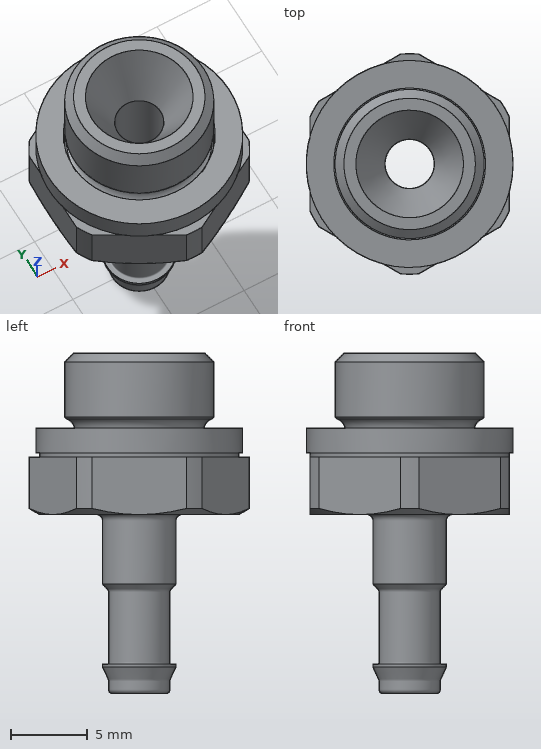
import cadquery as cq
import math

TOTAL_HEIGHT = 22.2
TIP_ROUND = 0.27
BARB_CONE_START = 0.8
BARB_RIM_BOTTOM = 1.73
BARB_RIM_TOP = 1.93
STEP_BOTTOM = 6.62
STEP_TOP = 7.15
HEX_BOTTOM = 11.68
HEX_TOP = 15.43
RING_BOTTOM = 15.7
RING_TOP = 17.32
THREAD_BOTTOM = 18.03
THREAD_CHAMFER = 0.58

TUBE_RADIUS = 4.0 / 2
SHANK_RADIUS = 4.8 / 2
SHANK_ROOT_FILLET = 0.4
BARB_BACK_FILLET = 0.09
BARB_BLEND_WIDTH = 0.029
BARB_BLEND_HEIGHT = 0.13
STEP_BLEND_WIDTH = 0.082
STEP_BLEND_HEIGHT = 0.2

HEX_ACROSS_FLATS = 13.0
HEX_ACROSS_CORNERS = 14.39
HEX_CHAMFER_ANGLE = 30.0

RING_RADIUS = 13.5 / 2
RING_HOLE_RADIUS = 9.9 / 2
THREAD_RADIUS = 9.72 / 2
NECK_RADIUS = 4.22
UNDERCUT_RADIUS = 0.75
UNDERCUT_CHAMFER = 0.1

BORE_RADIUS = 3.2 / 2
MOUTH_RADIUS = 7.02 / 2
MOUTH_HALF_ANGLE = 30.0


def revolve_about_z(profile):
    """Turn a closed (radius, height) profile about the Z axis."""
    return profile.close().revolve(360, (0, 0, 0), (0, 1, 0))


def make_spigot():
    """Hose tube with a barb, a stepped shank and a filleted root at the hexagon."""
    barb_blend_top = BARB_CONE_START + BARB_BLEND_HEIGHT
    step_blend_top = STEP_BOTTOM + STEP_BLEND_HEIGHT
    root_start = HEX_BOTTOM - SHANK_ROOT_FILLET
    profile = (
        cq.Workplane("XZ")
        .lineTo(TUBE_RADIUS - TIP_ROUND, 0)
        .tangentArcPoint((TUBE_RADIUS, TIP_ROUND), relative=False)
        .lineTo(TUBE_RADIUS, BARB_CONE_START)
        .tangentArcPoint((TUBE_RADIUS + BARB_BLEND_WIDTH, barb_blend_top), relative=False)
        .lineTo(SHANK_RADIUS, BARB_RIM_BOTTOM)
        .lineTo(SHANK_RADIUS, BARB_RIM_TOP)
        .lineTo(TUBE_RADIUS + BARB_BACK_FILLET, BARB_RIM_TOP)
        .tangentArcPoint((TUBE_RADIUS, BARB_RIM_TOP + BARB_BACK_FILLET), relative=False)
        .lineTo(TUBE_RADIUS, STEP_BOTTOM)
        .tangentArcPoint((TUBE_RADIUS + STEP_BLEND_WIDTH, step_blend_top), relative=False)
        .lineTo(SHANK_RADIUS, STEP_TOP)
        .lineTo(SHANK_RADIUS, root_start)
        .tangentArcPoint((SHANK_RADIUS + SHANK_ROOT_FILLET, HEX_BOTTOM), relative=False)
        .lineTo(0, HEX_BOTTOM)
    )
    return revolve_about_z(profile)


def make_hexagon():
    """Hexagon with turned-down corners and a chamfered lower face."""
    corner_radius = HEX_ACROSS_CORNERS / 2
    chamfer_radius = HEX_ACROSS_FLATS / 2
    chamfer_height = (corner_radius - chamfer_radius) * math.tan(math.radians(HEX_CHAMFER_ANGLE))
    prism = (
        cq.Workplane("XY", origin=(0, 0, HEX_BOTTOM))
        .polygon(6, HEX_ACROSS_FLATS, circumscribed=True)
        .extrude(HEX_TOP - HEX_BOTTOM)
    )
    turned_blank = revolve_about_z(
        cq.Workplane("XZ")
        .moveTo(0, HEX_BOTTOM)
        .lineTo(chamfer_radius, HEX_BOTTOM)
        .lineTo(corner_radius, HEX_BOTTOM + chamfer_height)
        .lineTo(corner_radius, HEX_TOP)
        .lineTo(0, HEX_TOP)
    )
    return prism.intersect(turned_blank)


def make_collar():
    """Round shoulder above the hexagon carrying the sealing ring."""
    shoulder = (
        cq.Workplane("XY", origin=(0, 0, HEX_TOP))
        .circle(HEX_ACROSS_FLATS / 2)
        .extrude(RING_BOTTOM - HEX_TOP)
    )
    ring = (
        cq.Workplane("XY", origin=(0, 0, RING_BOTTOM))
        .circle(RING_RADIUS)
        .circle(RING_HOLE_RADIUS)
        .extrude(RING_TOP - RING_BOTTOM)
    )
    return shoulder.union(ring)


def make_threaded_end():
    """Plain thread cylinder, chamfered on top, above a symmetric rounded undercut."""
    edge_radius = THREAD_RADIUS - UNDERCUT_CHAMFER
    groove_depth = edge_radius - NECK_RADIUS
    half_height = math.sqrt(UNDERCUT_RADIUS**2 - (UNDERCUT_RADIUS - groove_depth) ** 2)
    groove_top = THREAD_BOTTOM - UNDERCUT_CHAMFER
    groove_middle = groove_top - half_height
    groove_bottom = groove_middle - half_height
    profile = (
        cq.Workplane("XZ")
        .moveTo(0, RING_BOTTOM)
        .lineTo(THREAD_RADIUS, RING_BOTTOM)
        .lineTo(THREAD_RADIUS, groove_bottom - UNDERCUT_CHAMFER)
        .lineTo(edge_radius, groove_bottom)
        .threePointArc((NECK_RADIUS, groove_middle), (edge_radius, groove_top))
        .lineTo(THREAD_RADIUS, THREAD_BOTTOM)
        .lineTo(THREAD_RADIUS, TOTAL_HEIGHT - THREAD_CHAMFER)
        .lineTo(THREAD_RADIUS - THREAD_CHAMFER, TOTAL_HEIGHT)
        .lineTo(0, TOTAL_HEIGHT)
    )
    return revolve_about_z(profile)


def make_bore():
    """Through bore opening into a conical mouth at the threaded end."""
    mouth_depth = (MOUTH_RADIUS - BORE_RADIUS) / math.tan(math.radians(MOUTH_HALF_ANGLE))
    profile = (
        cq.Workplane("XZ")
        .lineTo(BORE_RADIUS, 0)
        .lineTo(BORE_RADIUS, TOTAL_HEIGHT - mouth_depth)
        .lineTo(MOUTH_RADIUS, TOTAL_HEIGHT)
        .lineTo(0, TOTAL_HEIGHT)
    )
    return revolve_about_z(profile)


result = (
    make_spigot()
    .union(make_hexagon())
    .union(make_collar())
    .union(make_threaded_end())
    .cut(make_bore())
)